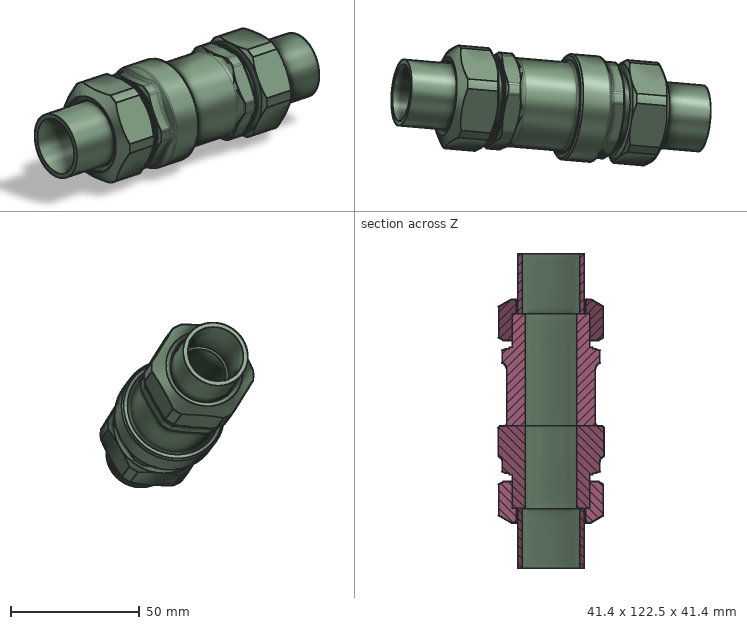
import cadquery as cq
import math


total_length = 122.5
flow_bore_diameter = 20.0
pipe_diameter = 26.0
pipe_bore_diameter = 22.3

nut_across_flats = 37.2
nut_corner_diameter = 40.9
nut_inner_y = 27.5
nut_outer_y = 43.6
nut_face_diameter = 30.9
nut_chamfer_angle = math.radians(30)
nut_pipe_hole_diameter = 27.0
nut_mouth_diameter = 29.8
nut_mouth_rounding = (nut_mouth_diameter - nut_pipe_hole_diameter) / 2
nut_lip_thickness = 5.6

neck_diameter = 30.3
neck_end_y = nut_outer_y - nut_lip_thickness

hex_across_flats = 35.0
hex_corner_diameter = 38.2
hex_edge_fillet = 2.0
hex_outer_y = 24.3
hex_chamfer_height = 0.6
hex_washer_diameter = 32.6
hex_washer_thickness = 0.6

barrel_diameter = 34.7
seam_y = -5.8
barrel_root_fillet = 1.1
hex_shoulder_y = 18.7
shoulder_cone_angle = math.radians(60)
web_start_y = 16.0
web_end_diameter = 36.8
web_across_flats = 34.8

collar_diameter = 41.4
collar_chamfer = 0.7
collar_end_y = -17.3
collar_edge_drop = 0.4
collar_edge_length = 0.6
collar_cone_angle = math.radians(60)
collar_cone_fillet = 1.6


def revolved(outline):
    """Close a (radius, y) outline and turn it about the Y axis."""
    return outline.close().revolve(360, (0, 0), (0, 1))


def cylinder(diameter, y_start, y_end):
    length = y_end - y_start
    return cq.Workplane("XZ", origin=(0, y_end, 0)).circle(diameter / 2).extrude(length)


def rounded_hexagon(across_flats, corner_diameter, y_start, y_end):
    """Hexagonal prism with flats facing +Z and -Z and its corners turned to a cylinder."""
    prism = (
        cq.Workplane("XZ", origin=(0, y_end, 0))
        .polygon(6, across_flats / math.cos(math.pi / 6))
        .extrude(y_end - y_start)
    )
    return prism.intersect(cylinder(corner_diameter, y_start, y_end))


def placed_at_end(body, side):
    """Leave a body made for the +Y end (side 1) or mirror it to the -Y end (side -1)."""
    return body if side > 0 else body.mirror("XZ")


def make_nut():
    corner_radius = nut_corner_diameter / 2
    face_radius = nut_face_diameter / 2
    inner_face_radius = nut_across_flats / 2
    outer_slope_height = (corner_radius - face_radius) * math.tan(nut_chamfer_angle)
    inner_slope_height = (corner_radius - inner_face_radius) * math.tan(nut_chamfer_angle)
    envelope = revolved(
        cq.Workplane("XY")
        .moveTo(0, nut_inner_y)
        .lineTo(inner_face_radius, nut_inner_y)
        .lineTo(corner_radius, nut_inner_y + inner_slope_height)
        .lineTo(corner_radius, nut_outer_y - outer_slope_height)
        .lineTo(face_radius, nut_outer_y)
        .lineTo(0, nut_outer_y)
    )
    opening = revolved(
        cq.Workplane("XY")
        .moveTo(0, nut_inner_y)
        .lineTo(neck_diameter / 2, nut_inner_y)
        .lineTo(neck_diameter / 2, neck_end_y)
        .lineTo(nut_pipe_hole_diameter / 2, neck_end_y)
        .lineTo(nut_pipe_hole_diameter / 2, nut_outer_y - nut_mouth_rounding)
        .radiusArc((nut_mouth_diameter / 2, nut_outer_y), nut_mouth_rounding)
        .lineTo(0, nut_outer_y)
    )
    hexagon = rounded_hexagon(nut_across_flats, nut_corner_diameter, nut_inner_y, nut_outer_y)
    return hexagon.intersect(envelope).cut(opening)


def make_pipe():
    pipe = cylinder(pipe_diameter, neck_end_y, total_length / 2)
    return pipe.cut(cylinder(pipe_bore_diameter, neck_end_y, total_length / 2))


def make_hexagon(y_inner):
    """Spanner hexagon with softened corners, a chamfered outer end and a raised washer face."""
    corner_radius = hex_corner_diameter / 2
    hexagon = rounded_hexagon(hex_across_flats, hex_corner_diameter, y_inner, hex_outer_y)
    hexagon = hexagon.edges("|Y").fillet(hex_edge_fillet)
    envelope = revolved(
        cq.Workplane("XY")
        .moveTo(0, y_inner)
        .lineTo(corner_radius, y_inner)
        .lineTo(corner_radius, hex_outer_y - hex_chamfer_height)
        .lineTo(hex_across_flats / 2, hex_outer_y)
        .lineTo(0, hex_outer_y)
    )
    washer_face = cylinder(hex_washer_diameter, hex_outer_y, hex_outer_y + hex_washer_thickness)
    return hexagon.intersect(envelope).union(washer_face)


def shoulder_y(radius):
    """Height of the conical shoulder under the socket hexagon at a given radius."""
    return hex_shoulder_y - (hex_corner_diameter / 2 - radius) / math.tan(shoulder_cone_angle)


def make_shouldered_hexagon():
    """Spanner hexagon whose inner end is a cone running down to the barrel."""
    corner_radius = hex_corner_diameter / 2
    barrel_radius = barrel_diameter / 2
    cone = revolved(
        cq.Workplane("XY")
        .moveTo(barrel_radius, web_start_y)
        .lineTo(corner_radius, web_start_y)
        .lineTo(corner_radius, hex_shoulder_y)
        .lineTo(barrel_radius, shoulder_y(barrel_radius))
    )
    return make_hexagon(web_start_y).cut(cone)


def make_corner_webs():
    """Hollow fillets that carry the six hexagon corners down to the barrel."""
    barrel_radius = barrel_diameter / 2
    web_end_radius = web_end_diameter / 2
    web_end_y = shoulder_y(web_end_radius)
    web_depth = web_end_radius - barrel_radius
    web_height = web_end_y - web_start_y
    web_radius = (web_depth**2 + web_height**2) / (2 * web_depth)
    ring = revolved(
        cq.Workplane("XY")
        .moveTo(0, web_start_y)
        .lineTo(barrel_radius, web_start_y)
        .radiusArc((web_end_radius, web_end_y), web_radius)
        .lineTo(web_end_radius, hex_shoulder_y)
        .lineTo(0, hex_shoulder_y)
    )
    limits = rounded_hexagon(web_across_flats, web_end_diameter, web_start_y, hex_shoulder_y)
    return ring.intersect(limits)


def make_socket_body():
    barrel_radius = barrel_diameter / 2
    barrel = revolved(
        cq.Workplane("XY")
        .moveTo(0, seam_y)
        .lineTo(barrel_radius + barrel_root_fillet, seam_y)
        .radiusArc((barrel_radius, seam_y + barrel_root_fillet), barrel_root_fillet)
        .lineTo(barrel_radius, hex_shoulder_y)
        .lineTo(0, hex_shoulder_y)
    )
    neck = cylinder(neck_diameter, hex_shoulder_y, neck_end_y)
    body = barrel.union(make_shouldered_hexagon()).union(make_corner_webs()).union(neck)
    return body.cut(cylinder(flow_bore_diameter, seam_y, neck_end_y))


def make_collar_body():
    collar_radius = collar_diameter / 2
    cone_start_radius = collar_radius - collar_edge_drop
    cone_start_y = collar_end_y - collar_edge_length
    cone_end_radius = neck_diameter / 2
    cone_end_y = cone_start_y - (cone_start_radius - cone_end_radius) / math.tan(collar_cone_angle)
    collar = revolved(
        cq.Workplane("XY")
        .moveTo(0, seam_y)
        .lineTo(collar_radius - collar_chamfer, seam_y)
        .lineTo(collar_radius, seam_y - collar_chamfer)
        .lineTo(collar_radius, collar_end_y)
        .tangentArcPoint((cone_start_radius, cone_start_y), relative=False)
        .lineTo(cone_end_radius, cone_end_y)
        .lineTo(0, cone_end_y)
    )
    hexagon = placed_at_end(make_hexagon(-collar_end_y), -1)
    body = collar.union(hexagon)
    root_zone = cq.selectors.BoxSelector(
        (-collar_radius, cone_end_y, -collar_radius), (collar_radius, cone_start_y, collar_radius)
    )
    body = body.edges(root_zone).edges("not |Y").fillet(collar_cone_fillet)
    neck = cylinder(neck_diameter, -neck_end_y, cone_end_y)
    return body.union(neck).cut(cylinder(flow_bore_diameter, -neck_end_y, seam_y))


socket_body = make_socket_body()
collar_body = make_collar_body()
nuts = []
pipes = []
for side in (1, -1):
    nuts.append(placed_at_end(make_nut(), side))
    pipes.append(placed_at_end(make_pipe(), side))

bodies = [socket_body, collar_body, *nuts, *pipes]
result = cq.Compound.makeCompound([body.val().Solids()[0] for body in bodies])